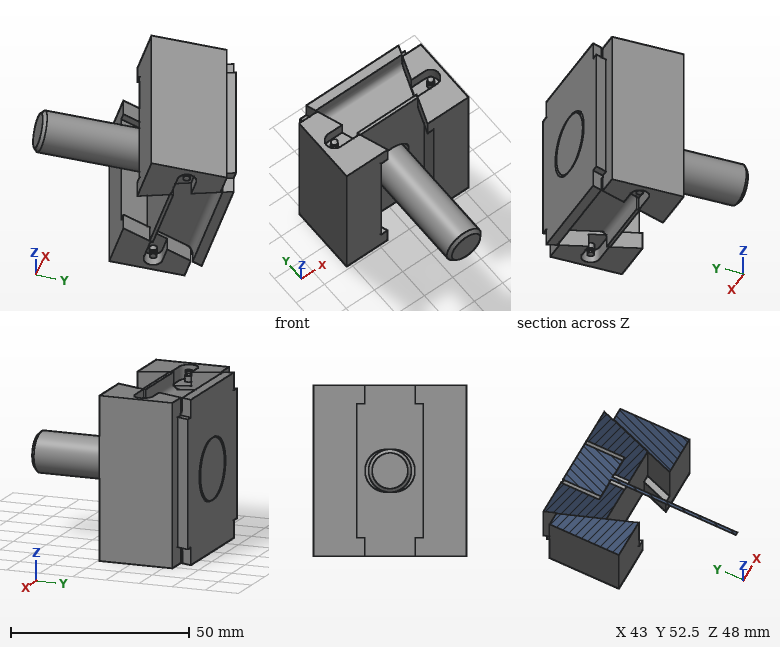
import cadquery as cq
import math


width = 43.0
height = 48.0
length = 52.5
half_height = height / 2

jaw_depth = 22.0
gap_front_half = 7.05
flank_slope = math.tan(math.radians(20))
pocket_step = 2.25
end_lip = 5.15
pocket_half_height = half_height - end_lip

stud_projection = 27.0
wedge_back = length - stud_projection
wedge_front = 8.55
back_rim = 3.0
front_rim = 1.0
channel_fillet = 2.0

stud_diameter = 12.0
stud_chamfer = 1.0
head_diameter = 18.0
head_height = stud_diameter
slot_travel = 2.0

pin_radius = 1.1
pin_x = 17.0
pin_y = 11.55
pin_slot_width = 5.4
pin_slot_depth = 4.05
pin_slot_floor = half_height - pin_slot_depth
pin_tip = half_height - 0.75
pin_head_radius = 1.0
pin_dome = 0.2
pin_head = 0.65
pin_groove = 0.8
pin_neck_radius = 0.5


def flank_x(y, step=0.0):
    """Half width of the dovetail at depth y, widened by step."""
    return gap_front_half + step + flank_slope * y


def dovetail(y_front, y_back, half_z, step=0.0):
    """Trapezoid prism, wider at the back, centred on Z = 0."""
    corners = [
        (-flank_x(y_front, step), y_front),
        (flank_x(y_front, step), y_front),
        (flank_x(y_back, step), y_back),
        (-flank_x(y_back, step), y_back),
    ]
    return cq.Workplane("XY").polyline(corners).close().extrude(half_z, both=True)


def at_both_ends(shape):
    """A shape at the top together with its mirror image at the bottom."""
    return [shape, shape.mirror("XY")]


def make_jaw(side):
    """One jaw; side is -1 for left and +1 for right."""
    jaw = cq.Workplane("XY").box(width / 2, jaw_depth, height).translate(
        (side * width / 4, jaw_depth / 2, 0)
    )
    jaw = jaw.cut(dovetail(0, jaw_depth, half_height))
    jaw = jaw.cut(dovetail(0, jaw_depth, pocket_half_height, pocket_step))

    slot = (
        cq.Workplane("XY", origin=(0, pin_y, pin_slot_floor))
        .slot2D(2 * pin_x + pin_slot_width, pin_slot_width)
        .extrude(pin_slot_depth)
    )
    for end_slot in at_both_ends(slot):
        jaw = jaw.cut(end_slot)
    return jaw


def make_wedge():
    """Block filling the jaw pockets, with a channelled dovetail at each end."""
    wedge = dovetail(wedge_front, wedge_back, half_height)
    wedge = wedge.union(dovetail(wedge_front, wedge_back, pocket_half_height, pocket_step))

    channel_front = wedge_front + front_rim
    channel_width = wedge_back - back_rim - channel_front
    channel = (
        cq.Workplane("XY", origin=(0, channel_front + channel_width / 2, pocket_half_height))
        .rect(width, channel_width)
        .extrude(end_lip)
        .faces("<Z")
        .edges("|X")
        .fillet(channel_fillet)
    )
    for end_channel in at_both_ends(channel):
        wedge = wedge.cut(end_channel)

    for diameter, depth in ((stud_diameter, wedge_back - wedge_front), (head_diameter, head_height)):
        slot = (
            cq.Workplane("XZ", origin=(0, wedge_back, 0))
            .slot2D(diameter + slot_travel, diameter)
            .extrude(depth)
        )
        wedge = wedge.cut(slot)
    return wedge


def make_stud():
    """Round stud with a chamfered front end and a cylindrical head, flush with the wedge back."""
    back_plane = cq.Workplane("XZ", origin=(0, wedge_back, 0))
    shank = back_plane.circle(stud_diameter / 2).extrude(length)
    shank = shank.faces("<Y").chamfer(stud_chamfer)
    head = back_plane.circle(head_diameter / 2).extrude(head_height)
    return shank.union(head)


def make_pin(side):
    """Domed pin with a groove below its narrower head, standing on the top slot floor."""
    head_top = pin_tip - pin_dome
    groove_top = head_top - pin_head
    groove_bottom = groove_top - pin_groove
    dome_radius = (pin_head_radius**2 + pin_dome**2) / (2 * pin_dome)
    dome_mid_x = pin_head_radius / 2
    dome_mid_z = pin_tip - dome_radius + math.sqrt(dome_radius**2 - dome_mid_x**2)
    profile = (
        cq.Workplane("XZ")
        .moveTo(0, pin_slot_floor)
        .lineTo(pin_radius, pin_slot_floor)
        .lineTo(pin_radius, groove_bottom)
        .lineTo(pin_neck_radius, groove_bottom)
        .lineTo(pin_neck_radius, groove_top)
        .lineTo(pin_head_radius, groove_top)
        .lineTo(pin_head_radius, head_top)
        .threePointArc((dome_mid_x, dome_mid_z), (0, pin_tip))
        .close()
    )
    return profile.revolve(360, (0, 0, 0), (0, 1, 0)).translate((side * pin_x, pin_y, 0))


jaws = [make_jaw(side) for side in (-1, 1)]
wedge = make_wedge()
stud = make_stud()
pins = [pin for side in (-1, 1) for pin in at_both_ends(make_pin(side))]

result = cq.Compound.makeCompound(
    [
        *[jaw.val() for jaw in jaws],
        wedge.val(),
        stud.val(),
        *[pin.val() for pin in pins],
    ]
)